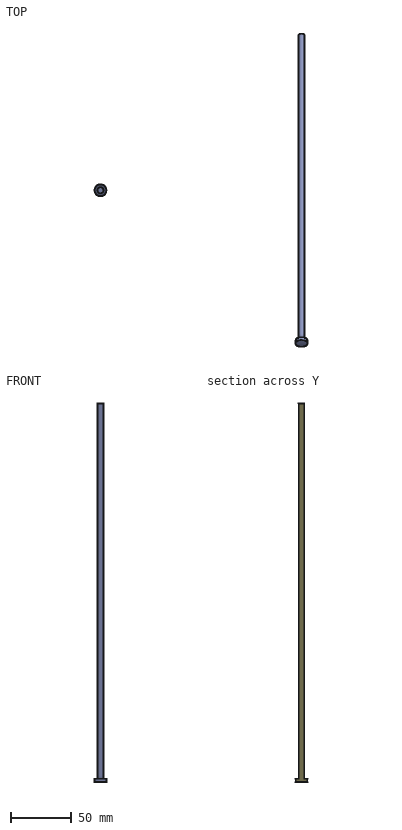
import cadquery as cq

overall_length = 315.0
head_diameter = 10.0
head_thickness = 3.0
shank_diameter = 5.0


def make_head():
    """Flat cylindrical head standing on the XY plane."""
    return cq.Workplane("XY").circle(head_diameter / 2).extrude(head_thickness)


def add_shank(head):
    """Straight round shank rising from the top face of the head."""
    shank_length = overall_length - head_thickness
    return head.faces(">Z").workplane().circle(shank_diameter / 2).extrude(shank_length)


result = add_shank(make_head())